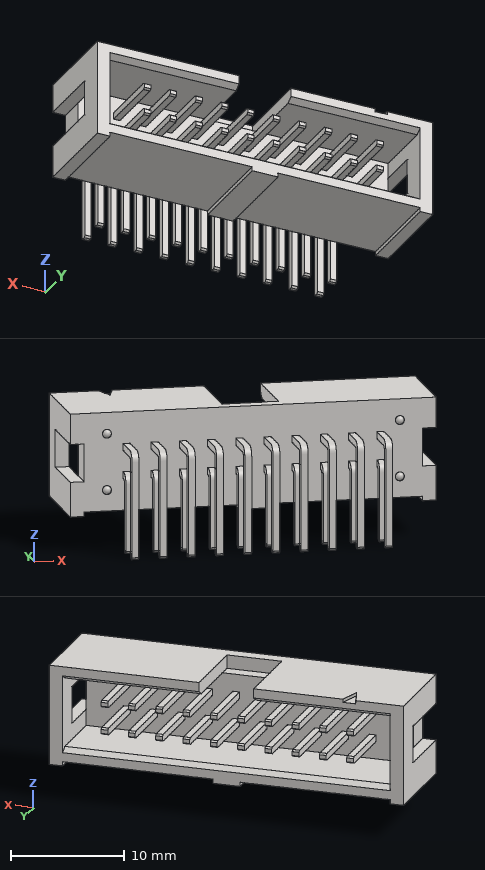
import cadquery as cq
import math

HOUSING_LENGTH = 33.02
HOUSING_DEPTH = 8.88
HOUSING_HEIGHT = 8.9
WALL = 1.25
FLOOR = 2.5
FLARE_LENGTH = 0.6
FLARE_HEIGHT = 0.4

PIN_COLUMNS = 10
LOOSE_PIN_COUNT = 3
PITCH = 2.55
PIN_SIZE = 0.63
BEND_RADIUS = 0.9
TIP_TAPER = 0.2
TIP_INSET = 0.13
TIP_RECESS = 0.23
REACH_BEHIND_BACK = 3.75
PIN_DROP = 8.12

KEY_SLOT_WIDTH = 2 * PITCH
KEY_SLOT_START = 1.3
WINDOW_HEIGHT = 3.4
WINDOW_END = 6.3
MARK_WIDTH = 1.2
MARK_LENGTH = 2.0
MARK_DEPTH = 0.3

FOOT_DROP = 0.4
CENTRE_FOOT_WIDTH = PITCH
NUB_RADIUS = 0.4
NUB_SPACING = 26.4

TOP = HOUSING_HEIGHT / 2
FIRST_PIN_X = -(PIN_COLUMNS - 1) * PITCH / 2
ROW_HEIGHT = PITCH / 2


def block(x_range, y_range, z_range):
    """Box given by its low and high limits on each axis."""
    size = [high - low for low, high in (x_range, y_range, z_range)]
    corner = (x_range[0], y_range[0], z_range[0])
    return cq.Workplane("XY").box(*size, centered=False).translate(corner)


def make_cavity():
    """Plug space, flared along the upper and lower edges of its mouth."""
    half_height = TOP - WALL
    flared_half = half_height + FLARE_HEIGHT
    flare_start = HOUSING_DEPTH - FLARE_LENGTH
    cavity_length = HOUSING_LENGTH - 2 * WALL
    profile = [
        (FLOOR, -half_height),
        (flare_start, -half_height),
        (HOUSING_DEPTH, -flared_half),
        (HOUSING_DEPTH, flared_half),
        (flare_start, half_height),
        (FLOOR, half_height),
    ]
    return cq.Workplane("YZ").polyline(profile).close().extrude(cavity_length / 2, both=True)


def make_key_slot():
    """Slot through the middle of the upper wall, open at the mouth."""
    half = KEY_SLOT_WIDTH / 2
    return block((-half, half), (KEY_SLOT_START, HOUSING_DEPTH), (TOP - WALL, TOP))


def make_end_windows():
    """Openings through both end walls, running out at the back face."""
    half = HOUSING_LENGTH / 2
    y_range = (0, WINDOW_END)
    z_range = (-WINDOW_HEIGHT / 2, WINDOW_HEIGHT / 2)
    left = block((-half, WALL - half), y_range, z_range)
    right = block((half - WALL, half), y_range, z_range)
    return left.union(right)


def make_pin_one_mark():
    """Triangular recess in the top face, pointing at the first pin column."""
    return (
        cq.Workplane("XY", origin=(FIRST_PIN_X, HOUSING_DEPTH, TOP - MARK_DEPTH))
        .polyline([(-MARK_WIDTH / 2, 0), (0, -MARK_LENGTH), (MARK_WIDTH / 2, 0)])
        .close()
        .extrude(MARK_DEPTH)
    )


def make_feet():
    """Three shallow pads under the housing, at the ends and in the middle."""
    half = HOUSING_LENGTH / 2
    y_range = (0, HOUSING_DEPTH)
    z_range = (-TOP - FOOT_DROP, -TOP)
    left = block((-half, WALL - half), y_range, z_range)
    centre = block((-CENTRE_FOOT_WIDTH / 2, CENTRE_FOOT_WIDTH / 2), y_range, z_range)
    right = block((half - WALL, half), y_range, z_range)
    return left.union(centre).union(right)


def make_nubs():
    """Round standoffs: balls centred on the back face, half sunk into it."""
    nub_points = [(x, z) for x in (-NUB_SPACING / 2, NUB_SPACING / 2) for z in (-PITCH, PITCH)]
    nubs = cq.Workplane("XY")
    for x, z in nub_points:
        nubs = nubs.union(cq.Workplane("XY").sphere(NUB_RADIUS).translate((x, 0, z)))
    return nubs


def make_pin(x, row_z, reach):
    """Square pin from the mouth through the floor, bent down behind the housing."""
    top = row_z + PIN_SIZE / 2
    under = row_z - PIN_SIZE / 2
    outer = -reach
    inner = outer + PIN_SIZE
    tip = HOUSING_DEPTH - TIP_RECESS
    outer_bend_y = outer + BEND_RADIUS
    bend_z = top - BEND_RADIUS
    diagonal = math.sqrt(0.5)
    inner_radius = BEND_RADIUS - PIN_SIZE
    outer_mid = (outer_bend_y - BEND_RADIUS * diagonal, bend_z + BEND_RADIUS * diagonal)
    inner_mid = (outer_bend_y - inner_radius * diagonal, bend_z + inner_radius * diagonal)
    return (
        cq.Workplane("YZ", origin=(x - PIN_SIZE / 2, 0, 0))
        .moveTo(tip, top - TIP_INSET)
        .lineTo(tip - TIP_TAPER, top)
        .lineTo(outer_bend_y, top)
        .threePointArc(outer_mid, (outer, bend_z))
        .lineTo(outer, -PIN_DROP + TIP_TAPER)
        .lineTo(outer + TIP_INSET, -PIN_DROP)
        .lineTo(inner - TIP_INSET, -PIN_DROP)
        .lineTo(inner, -PIN_DROP + TIP_TAPER)
        .lineTo(inner, bend_z)
        .threePointArc(inner_mid, (outer_bend_y, under))
        .lineTo(tip - TIP_TAPER, under)
        .lineTo(tip, under + TIP_INSET)
        .close()
        .extrude(PIN_SIZE)
    )


def make_housing_shell():
    """Housing with all its openings, feet and nubs but without pins."""
    return (
        cq.Workplane("XY")
        .box(HOUSING_LENGTH, HOUSING_DEPTH, HOUSING_HEIGHT, centered=(True, False, True))
        .cut(make_cavity())
        .cut(make_key_slot())
        .cut(make_end_windows())
        .cut(make_pin_one_mark())
        .union(make_feet())
        .union(make_nubs())
    )


def make_pin_row(row_z, reach):
    """One pin per column, all in the row at height row_z."""
    return [make_pin(FIRST_PIN_X + column * PITCH, row_z, reach) for column in range(PIN_COLUMNS)]


upper_row = make_pin_row(ROW_HEIGHT, REACH_BEHIND_BACK)
lower_row = make_pin_row(-ROW_HEIGHT, REACH_BEHIND_BACK - PITCH)

loose_pins = upper_row[:LOOSE_PIN_COUNT]
moulded_pins = upper_row[LOOSE_PIN_COUNT:] + lower_row

housing = make_housing_shell()
for pin in moulded_pins:
    housing = housing.union(pin)
for pin in loose_pins:
    housing = housing.cut(pin)

result = cq.Compound.makeCompound([housing.solids().val(), *[pin.val() for pin in loose_pins]])